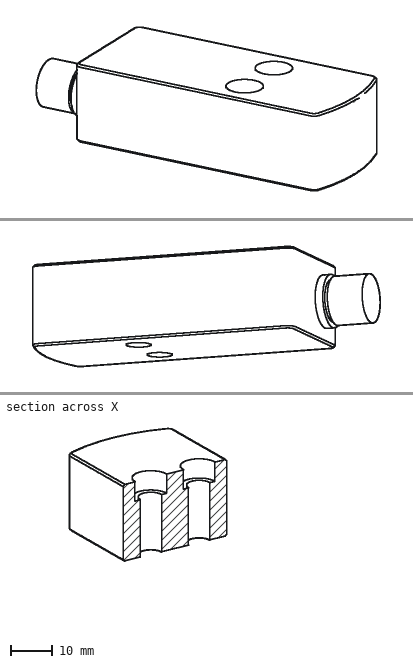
import cadquery as cq
import math

length = 82.0
width = 30.0
height = 20.0

body_start = 12.0
corner_radius = 2.0
edge_chamfer = 0.5
end_arc_radius = 42.2
end_hollow_depth = 0.65

plug_diameter = 12.0
plug_length = 9.0
neck_diameter = 10.3
collar_start = 10.0
collar_diameter = 12.95
connector_y = -(width / 2 - corner_radius - collar_diameter / 2)

hole_x = 54.9
hole_spacing = 13.9
hole_diameter = 6.1
counterbore_diameter = 9.0
counterbore_depth = 5.0


def make_body():
    """Block with a bowed +X end, rounded corners and chamfered rims."""
    half_width = width / 2
    bow = end_arc_radius - math.sqrt(end_arc_radius**2 - half_width**2)
    return (
        cq.Workplane("XY")
        .workplane(offset=-height / 2)
        .moveTo(body_start, -half_width)
        .lineTo(length - bow, -half_width)
        .threePointArc((length, 0), (length - bow, half_width))
        .lineTo(body_start, half_width)
        .close()
        .extrude(height)
        .edges("|Z")
        .fillet(corner_radius)
        .faces("<Z or >Z")
        .chamfer(edge_chamfer)
    )


def make_end_hollow():
    """Cylinder along Y that hollows the +X end between its two chamfers."""
    half_chord = height / 2 - edge_chamfer
    radius = (half_chord**2 + end_hollow_depth**2) / (2 * end_hollow_depth)
    return (
        cq.Workplane("XZ")
        .center(length - end_hollow_depth + radius, 0)
        .circle(radius)
        .extrude(width / 2, both=True)
    )


def connector_cylinder(diameter, start, end):
    """Coaxial connector section between two X positions."""
    return (
        cq.Workplane("YZ")
        .workplane(offset=start)
        .center(connector_y, 0)
        .circle(diameter / 2)
        .extrude(end - start)
    )


body = (
    make_body()
    .cut(make_end_hollow())
    .faces(">Z")
    .workplane(origin=(hole_x, 0, 0))
    .rarray(0.8, hole_spacing, 1, 2)
    .cboreHole(hole_diameter, counterbore_diameter, counterbore_depth)
)

result = (
    body
    .union(connector_cylinder(collar_diameter, collar_start, body_start))
    .union(connector_cylinder(neck_diameter, plug_length, collar_start))
    .union(connector_cylinder(plug_diameter, 0, plug_length))
)